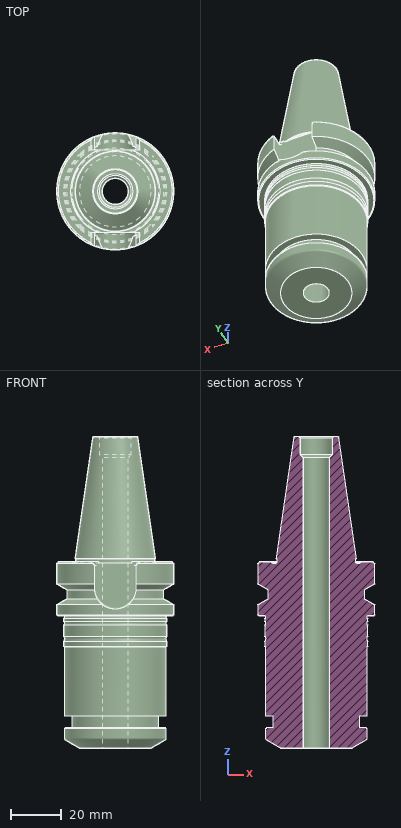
import cadquery as cq
import math


TAPER_TOP = 48.4
TAPER_END = 0.5
GAUGE_DIA = 31.75
TAPER_RATE = 7 / 24
TAPER_TIP_CHAMFER = 0.3
TAPER_END_CHAMFER = 0.3
NECK_DIA = 31.15

FLANGE_TOP = -0.8
FLANGE_BOTTOM = -22.0
FLANGE_DIA = 46.0
FLANGE_TOP_CHAMFER = 0.7
FLANGE_BOTTOM_CHAMFER = 0.4
FACE_RECESS_DIA = 35.0
FACE_RECESS_DEPTH = 0.5
FACE_RECESS_FILLET = 0.45
V_GROOVE_DIA = 38.0
V_GROOVE_CENTER = -13.6
V_GROOVE_FLOOR_WIDTH = 3.5
V_GROOVE_FLANK_ANGLE = 30.0

SLOT_WIDTH = 16.3
SLOT_FLOOR_DISTANCE = 16.2
SLOT_BOTTOM = -19.3
SLOT_FLOOR_FILLET = 0.6
SLOT_MOUTH_CHAMFER = 1.4

BAND_DIA = 40.5
BODY_DIA = 40.0
BODY_BOTTOM = -61.4
BAND_GROOVE_DEPTH = 0.3
UPPER_BAND = (-23.1, -24.2)
MIDDLE_BAND = (-25.7, -30.1)
LOWER_BAND = (-32.0, -34.0)
LOWER_GROOVE_END = -31.4

NUT_NECK_DIA = 34.0
NUT_DIA = 40.0
NUT_TOP = -65.8
NUT_BOTTOM = -74.0
NUT_END_DIA = 28.0
NUT_CONE_ANGLE = 30.0
NUT_TOP_CHAMFER = 0.5
NUT_CORNER_RADIUS = 1.0

BORE_DIA = 10.11
COUNTERBORE_DIA = 12.5
COUNTERBORE_DEPTH = 7.2
COUNTERBORE_MOUTH_DIA = 13.8


def revolve_profile(profile):
    return profile.close().revolve(360, (0, 0, 0), (0, 1, 0))


def band_groove(profile, end_radius, end_z, start_z):
    """Add a shallow arc-shaped groove between start_z and end_z to the profile."""
    middle = (BAND_DIA / 2 - BAND_GROOVE_DEPTH, (start_z + end_z) / 2)
    return profile.threePointArc(middle, (end_radius, end_z))


def make_shank():
    neck_radius = NECK_DIA / 2
    end_radius = (GAUGE_DIA - TAPER_END * TAPER_RATE) / 2
    tip_radius = (GAUGE_DIA - TAPER_TOP * TAPER_RATE) / 2
    recess_z = FLANGE_TOP - FACE_RECESS_DEPTH
    profile = (
        cq.Workplane("XZ")
        .moveTo(0, TAPER_TOP)
        .lineTo(tip_radius - TAPER_TIP_CHAMFER, TAPER_TOP)
        .lineTo(tip_radius + TAPER_TIP_CHAMFER * TAPER_RATE / 2, TAPER_TOP - TAPER_TIP_CHAMFER)
        .lineTo(end_radius, TAPER_END)
        .lineTo(neck_radius, TAPER_END - TAPER_END_CHAMFER)
        .lineTo(neck_radius, recess_z + FACE_RECESS_FILLET)
        .radiusArc((neck_radius + FACE_RECESS_FILLET, recess_z), -FACE_RECESS_FILLET)
        .lineTo(0, recess_z)
    )
    return revolve_profile(profile)


def make_flange():
    radius = FLANGE_DIA / 2
    groove_radius = V_GROOVE_DIA / 2
    recess_radius = FACE_RECESS_DIA / 2
    half_floor = V_GROOVE_FLOOR_WIDTH / 2
    half_mouth = half_floor + (radius - groove_radius) * math.tan(math.radians(V_GROOVE_FLANK_ANGLE))
    recess_z = FLANGE_TOP - FACE_RECESS_DEPTH
    profile = (
        cq.Workplane("XZ")
        .moveTo(0, recess_z)
        .lineTo(recess_radius - FACE_RECESS_FILLET, recess_z)
        .radiusArc((recess_radius, recess_z + FACE_RECESS_FILLET), -FACE_RECESS_FILLET)
        .lineTo(recess_radius, FLANGE_TOP)
        .lineTo(radius - FLANGE_TOP_CHAMFER, FLANGE_TOP)
        .lineTo(radius, FLANGE_TOP - FLANGE_TOP_CHAMFER)
        .lineTo(radius, V_GROOVE_CENTER + half_mouth)
        .lineTo(groove_radius, V_GROOVE_CENTER + half_floor)
        .lineTo(groove_radius, V_GROOVE_CENTER - half_floor)
        .lineTo(radius, V_GROOVE_CENTER - half_mouth)
        .lineTo(radius, FLANGE_BOTTOM + FLANGE_BOTTOM_CHAMFER)
        .lineTo(radius - FLANGE_BOTTOM_CHAMFER, FLANGE_BOTTOM)
        .lineTo(0, FLANGE_BOTTOM)
    )
    return revolve_profile(profile)


def make_body():
    band_radius = BAND_DIA / 2
    body_radius = BODY_DIA / 2
    band_step = band_radius - body_radius
    profile = cq.Workplane("XZ").moveTo(0, FLANGE_BOTTOM).lineTo(band_radius, FLANGE_BOTTOM)
    profile = band_groove(profile, band_radius, UPPER_BAND[0], FLANGE_BOTTOM)
    profile = profile.lineTo(band_radius, UPPER_BAND[1])
    profile = band_groove(profile, band_radius, MIDDLE_BAND[0], UPPER_BAND[1])
    profile = profile.lineTo(band_radius, MIDDLE_BAND[1])
    profile = band_groove(profile, body_radius, LOWER_GROOVE_END, MIDDLE_BAND[1])
    profile = (
        profile
        .lineTo(band_radius, LOWER_BAND[0])
        .lineTo(band_radius, LOWER_BAND[1])
        .lineTo(body_radius, LOWER_BAND[1] - band_step)
        .lineTo(body_radius, BODY_BOTTOM)
        .lineTo(0, BODY_BOTTOM)
    )
    return revolve_profile(profile)


def make_nut():
    radius = NUT_DIA / 2
    neck_radius = NUT_NECK_DIA / 2
    end_radius = NUT_END_DIA / 2
    cone_angle = math.radians(NUT_CONE_ANGLE)
    corner_z = NUT_BOTTOM + (radius - end_radius) * math.tan(cone_angle)

    turn = math.pi / 2 - cone_angle
    tangent_length = NUT_CORNER_RADIUS * math.tan(turn / 2)
    arc_center_r = radius - NUT_CORNER_RADIUS
    arc_start_z = corner_z + tangent_length
    arc_middle = (
        arc_center_r + NUT_CORNER_RADIUS * math.cos(turn / 2),
        arc_start_z - NUT_CORNER_RADIUS * math.sin(turn / 2),
    )
    arc_end = (
        arc_center_r + NUT_CORNER_RADIUS * math.cos(turn),
        arc_start_z - NUT_CORNER_RADIUS * math.sin(turn),
    )
    profile = (
        cq.Workplane("XZ")
        .moveTo(0, BODY_BOTTOM)
        .lineTo(neck_radius, BODY_BOTTOM)
        .lineTo(neck_radius, NUT_TOP)
        .lineTo(radius - NUT_TOP_CHAMFER, NUT_TOP)
        .lineTo(radius, NUT_TOP - NUT_TOP_CHAMFER)
        .lineTo(radius, arc_start_z)
        .threePointArc(arc_middle, arc_end)
        .lineTo(end_radius, NUT_BOTTOM)
        .lineTo(0, NUT_BOTTOM)
    )
    return revolve_profile(profile)


def make_slot_cutter():
    """Round-bottomed slot cutter on the -Y side, with a flared mouth at the flange face."""
    half_width = SLOT_WIDTH / 2
    mouth_half_width = half_width + SLOT_MOUTH_CHAMFER
    round_center = SLOT_BOTTOM + half_width
    mouth_z = FLANGE_TOP - SLOT_MOUTH_CHAMFER
    depth = FLANGE_DIA / 2 - SLOT_FLOOR_DISTANCE
    floor_plane = cq.Workplane("XZ", origin=(0, -SLOT_FLOOR_DISTANCE, 0))
    slot = (
        floor_plane
        .moveTo(-half_width, FLANGE_TOP)
        .lineTo(-half_width, round_center)
        .threePointArc((0, SLOT_BOTTOM), (half_width, round_center))
        .lineTo(half_width, FLANGE_TOP)
        .close()
        .extrude(depth)
    )
    slot = slot.faces(">Y").edges("not >Z").fillet(SLOT_FLOOR_FILLET)
    mouth = (
        floor_plane
        .moveTo(-mouth_half_width, FLANGE_TOP)
        .lineTo(-half_width, mouth_z)
        .lineTo(half_width, mouth_z)
        .lineTo(mouth_half_width, FLANGE_TOP)
        .close()
        .extrude(depth)
    )
    return slot.union(mouth)


def make_bore_cutter():
    bore_radius = BORE_DIA / 2
    counterbore_radius = COUNTERBORE_DIA / 2
    mouth_radius = COUNTERBORE_MOUTH_DIA / 2
    mouth_depth = mouth_radius - counterbore_radius
    floor_z = TAPER_TOP - COUNTERBORE_DEPTH
    profile = (
        cq.Workplane("XZ")
        .moveTo(0, TAPER_TOP)
        .lineTo(mouth_radius, TAPER_TOP)
        .lineTo(counterbore_radius, TAPER_TOP - mouth_depth)
        .lineTo(counterbore_radius, floor_z)
        .lineTo(bore_radius, floor_z - (counterbore_radius - bore_radius))
        .lineTo(bore_radius, NUT_BOTTOM)
        .lineTo(0, NUT_BOTTOM)
    )
    return revolve_profile(profile)


solid = make_shank().union(make_flange()).union(make_body()).union(make_nut())
slot_cutter = make_slot_cutter()
for slot_angle in (0, 180):
    solid = solid.cut(slot_cutter.rotate((0, 0, 0), (0, 0, 1), slot_angle))
result = solid.cut(make_bore_cutter())